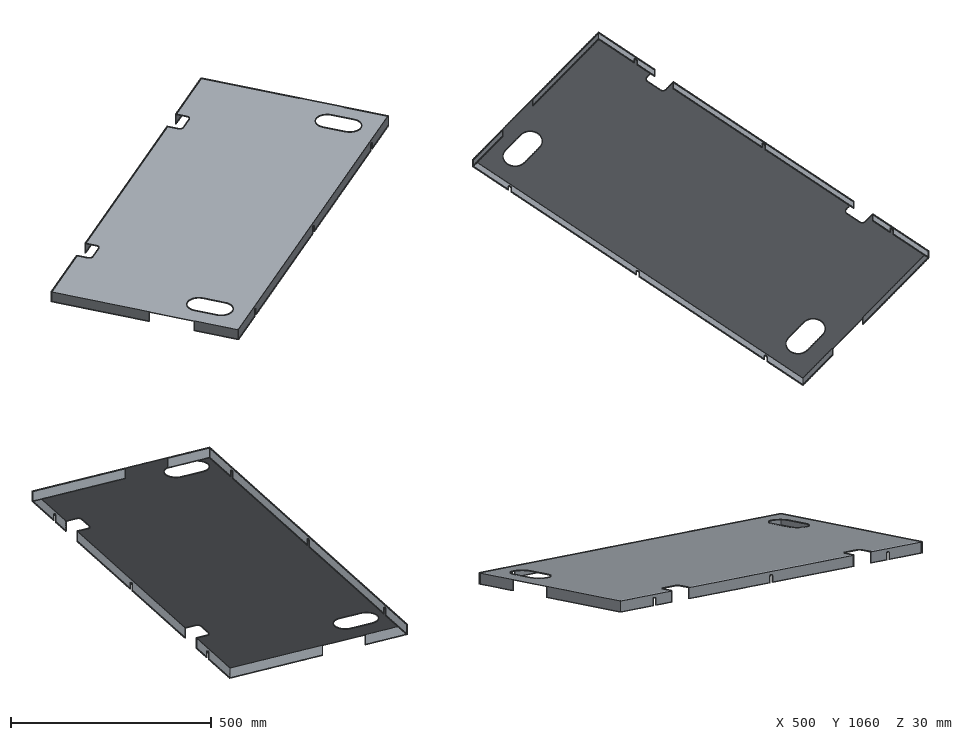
import cadquery as cq

width = 500.0
length = 1060.0
height = 30.0
sheet = 2.0
bend_radius = 2.0

flange_gap = 120.0
flange_gap_start = 262.0

hole_length = 120.0
hole_width = 60.0
hole_end_offset = 76.0
hole_side_offset = 105.0

notch_depth = 40.0
notch_width = 60.0
notch_end_offset = 180.0
notch_corner_radius = 10.0

slot_width = 10.0
slot_height = 20.0
slot_end_offset = 120.0

half_width = width / 2
half_length = length / 2


def folded_tray():
    """Thin plate with flanges folded down along all four edges."""
    outside = (
        cq.Workplane("XY")
        .box(width, length, height, centered=(True, True, False))
        .faces(">Z").edges().fillet(bend_radius)
    )
    inside = cq.Workplane("XY").box(
        width - 2 * sheet, length - 2 * sheet, height - sheet, centered=(True, True, False)
    )
    return outside.cut(inside)


def end_flange_gap():
    """Opening below the plate that interrupts both end flanges."""
    gap_centre = -half_width + flange_gap_start + flange_gap / 2
    return (
        cq.Workplane("XY")
        .box(flange_gap, length, height - sheet, centered=(True, True, False))
        .translate((gap_centre, 0, 0))
    )


def hand_holes():
    centre_x = half_width - hole_side_offset
    centre_y = half_length - hole_end_offset
    return (
        cq.Workplane("XY")
        .pushPoints([(centre_x, -centre_y), (centre_x, centre_y)])
        .slot2D(hole_length, hole_width)
        .extrude(height)
    )


def side_notches():
    """Cutters that reach equally far either side of the -X edge."""
    centre_y = half_length - notch_end_offset - notch_width / 2
    return (
        cq.Workplane("XY")
        .pushPoints([(-half_width, -centre_y), (-half_width, centre_y)])
        .rect(2 * notch_depth, notch_width)
        .extrude(height)
        .edges("|Z").fillet(notch_corner_radius)
    )


def flange_slots():
    """Cutters across the full width, half of each slot lying below the flange."""
    slot_y = half_length - slot_end_offset
    return (
        cq.Workplane("YZ")
        .pushPoints([(-slot_y, 0), (0, 0), (slot_y, 0)])
        .slot2D(2 * slot_height, slot_width, 90)
        .extrude(half_width, both=True)
    )


result = (
    folded_tray()
    .cut(end_flange_gap())
    .cut(hand_holes())
    .cut(side_notches())
    .cut(flange_slots())
)